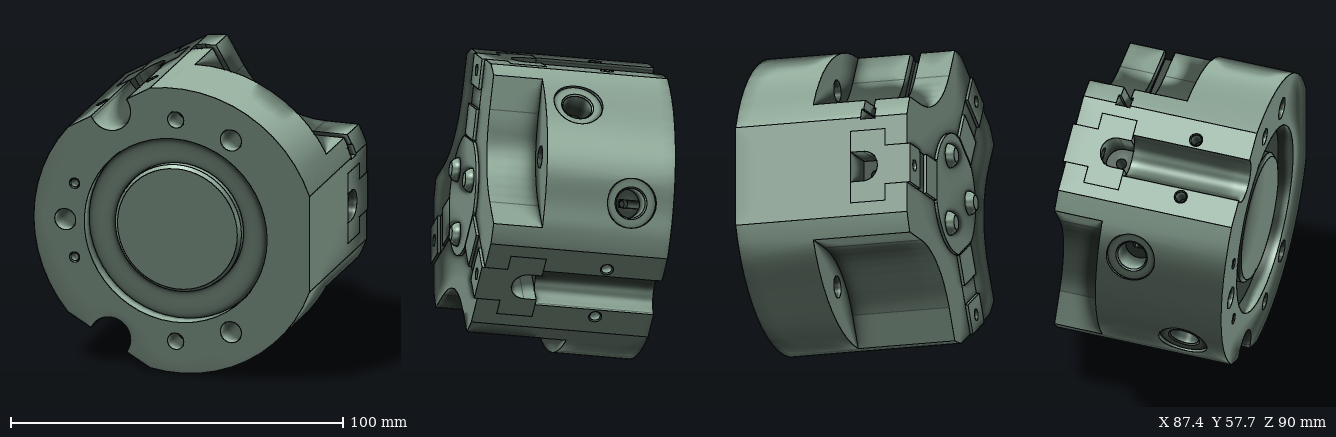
import cadquery as cq
import math


BODY_RADIUS = 45.0
BODY_LENGTH = 54.5
FLAT_RADIUS = 42.4
PLATE_THICKNESS = 0.9
TOP = BODY_LENGTH + PLATE_THICKNESS

JAW_ANGLES = (0, 120, 240)
BETWEEN_JAWS = (60, 180, 300)
GROOVED_ANGLES = (120, 240)
DOWEL_ANGLES = (90, 270)

JAW_INNER_RADIUS = 17.5
STEM_WIDTH = 12.0
BAR_WIDTH = 22.1
BAR_BOTTOM = 36.6
BAR_TOP = 47.5
KEYWAY_INNER = 27.0
KEYWAY_OUTER = 33.1
POCKET_RADIUS = 4.6
POCKET_CENTER_Y = 40.5
POCKET_DEPTH = 12.4
JAW_HOLE_DIAMETER = 3.4
JAW_HOLE_RADIUS = 38.05
SLIDE_HOLE_DIAMETER = 3.1

RECESS_RADIUS = 29.0
RECESS_DEPTH = 4.7
BOSS_RADIUS = 20.0
BOSS_SETBACK = 1.6
BOSS_CHAMFER = 1.0

BOLT_CIRCLE = 35.0
BOLT_HOLE_DIAMETER = 6.7
DOWEL_DIAMETER = 5.1
DOWEL_DEPTH = 9.9
DRILL_TIP_ANGLE = 118

NOTCH_CORNER_HALF_WIDTH = 24.0
NOTCH_ARC_RADIUS = 29.9
NOTCH_SIDE_ANGLE = 30
NOTCH_FLOORS = {60: 23.8, 180: 39.5, 300: 23.8}

GROOVE_RADIUS = 6.5
GROOVE_CENTER_RADIUS = 41.6
SIDE_HOLE_OFFSET = 9.1
SIDE_HOLE_Y = 17.5
SIDE_HOLE_DIAMETER = 3.2
SIDE_HOLE_DEPTH = 8.1
SIDE_HOLE_CHAMFER = 0.4

SENSOR_ANGLE = 60
SENSOR_Y = 42.0
SENSOR_NECK_WIDTH = 3.2
SENSOR_CHANNEL_WIDTH = 4.5
SENSOR_CHANNEL_HEIGHT = 3.3
SENSOR_FLOOR_OFFSET = 14.6

PORT_SPOTS = ((160, 29.3), (200, 12.9))
PORT_FACE_RADIUS = 43.6
PORT_FACE_DIAMETER = 15.0
PORT_DIAMETER = 8.9
PORT_DEPTH = 9.0
PORT_CHAMFER = 0.45
BLEED_DIAMETER = 2.5
BLEED_CHAMFER = 0.4
BLEED_RADIUS = 34.1
BLEED_OVERRUN = 1.6
BLEED_INNER_RADIUS = 27.9

PLATE_RADIUS = 18.35
PLATE_FLAT_RADIUS = 17.1
SCREW_RADIUS = 12.05
SCREW_HEAD_DIAMETER = 7.4
SCREW_TOP_DIAMETER = 4.4
SCREW_HEAD_HEIGHT = 2.25


def on_circle(radius, angle):
    """(X, Z) of the point at a radius and angle around the Y axis."""
    turn = math.radians(angle)
    return radius * math.cos(turn), radius * math.sin(turn)


def axial(y):
    """Workplane across the axis; a negative extrusion runs towards +Y."""
    return cq.Workplane("XZ", origin=(0, y, 0))


def sector(angle, y):
    """Workplane across the axis with local x pointing outwards at an angle."""
    x, z = on_circle(1, angle)
    return cq.Workplane(cq.Plane(origin=(0, y, 0), xDir=(x, 0, z), normal=(0, -1, 0)))


def facing(angle, radius):
    """Workplane facing outwards at a radius: local x is tangential and local y is Y."""
    x, z = on_circle(1, angle)
    origin = (radius * x, 0, radius * z)
    return cq.Workplane(cq.Plane(origin=origin, xDir=(z, 0, -x), normal=(x, 0, z)))


def drill(diameter, depth, chamfer=0.0):
    """Blind drilled hole that enters the XY plane from above, with an optional edge chamfer."""
    radius = diameter / 2
    tip = radius / math.tan(math.radians(DRILL_TIP_ANGLE / 2))
    outline = cq.Workplane("XZ").moveTo(0, 0).lineTo(radius + chamfer, 0)
    if chamfer:
        outline = outline.lineTo(radius, -chamfer)
    outline = outline.lineTo(radius, -depth).lineTo(0, -depth - tip).close()
    return outline.revolve(360, (0, 0), (0, 1))


def placed(tool, workplane):
    """A tool moved from the XY plane onto a workplane."""
    return tool.val().moved(workplane.plane.location)


def jaw_blank(angle):
    """T-shaped slide that fills the slot in the housing."""
    bar = BAR_WIDTH / 2
    stem = STEM_WIDTH / 2
    half = [(bar, BAR_BOTTOM), (bar, BAR_TOP), (stem, BAR_TOP), (stem, TOP)]
    mirrored = [(-x, y) for x, y in reversed(half)]
    outline = facing(angle, FLAT_RADIUS).polyline(half + mirrored).close()
    return outline.extrude(JAW_INNER_RADIUS - FLAT_RADIUS)


def jaw(angle):
    body = jaw_blank(angle)
    keyway = (
        sector(angle, BODY_LENGTH)
        .center((KEYWAY_INNER + KEYWAY_OUTER) / 2, 0)
        .rect(KEYWAY_OUTER - KEYWAY_INNER, STEM_WIDTH)
        .extrude(-PLATE_THICKNESS)
    )
    pocket = (
        facing(angle, FLAT_RADIUS)
        .moveTo(-POCKET_RADIUS, BAR_BOTTOM)
        .lineTo(-POCKET_RADIUS, POCKET_CENTER_Y)
        .threePointArc((0, POCKET_CENTER_Y + POCKET_RADIUS), (POCKET_RADIUS, POCKET_CENTER_Y))
        .lineTo(POCKET_RADIUS, BAR_BOTTOM)
        .close()
        .extrude(-POCKET_DEPTH)
    )
    hole = (
        sector(angle, BAR_BOTTOM)
        .center(JAW_HOLE_RADIUS, 0)
        .circle(JAW_HOLE_DIAMETER / 2)
        .extrude(BAR_BOTTOM - TOP)
    )
    slide_hole = (
        facing(angle, FLAT_RADIUS)
        .center(0, POCKET_CENTER_Y)
        .circle(SLIDE_HOLE_DIAMETER / 2)
        .extrude(JAW_INNER_RADIUS - FLAT_RADIUS)
    )
    return body.cut(keyway).cut(pocket).cut(hole).cut(slide_hole)


def body_blank():
    """Round body with a flat under each jaw."""
    body = axial(0).circle(BODY_RADIUS).extrude(-BODY_LENGTH)
    for angle in JAW_ANGLES:
        outside = facing(angle, FLAT_RADIUS).center(0, BODY_LENGTH / 2)
        body = body.cut(outside.rect(2 * BODY_RADIUS, BODY_LENGTH).extrude(BODY_RADIUS))
    return body


def front_recess():
    """Round recess with a set-back, chamfered boss left standing in it."""
    recess = axial(0).circle(RECESS_RADIUS).extrude(-RECESS_DEPTH)
    boss = (
        axial(BOSS_SETBACK)
        .circle(BOSS_RADIUS)
        .extrude(BOSS_SETBACK - RECESS_DEPTH)
        .faces("<Y")
        .chamfer(BOSS_CHAMFER)
    )
    return recess.cut(boss)


def notch(angle, floor_y):
    """Notch open to the +Y end: a concave arc with a tangent slanted side on either hand."""
    side = math.radians(NOTCH_SIDE_ANGLE)
    corner_radius = math.sqrt(BODY_RADIUS**2 - NOTCH_CORNER_HALF_WIDTH**2)
    arc_half_width = NOTCH_ARC_RADIUS * math.sin(side)
    side_run = NOTCH_CORNER_HALF_WIDTH - arc_half_width
    arc_end = corner_radius - side_run * math.tan(side)
    arc_bottom = arc_end - NOTCH_ARC_RADIUS * (1 - math.cos(side))
    return (
        sector(angle, floor_y)
        .moveTo(BODY_RADIUS, -NOTCH_CORNER_HALF_WIDTH)
        .lineTo(corner_radius, -NOTCH_CORNER_HALF_WIDTH)
        .lineTo(arc_end, -arc_half_width)
        .threePointArc((arc_bottom, 0), (arc_end, arc_half_width))
        .lineTo(corner_radius, NOTCH_CORNER_HALF_WIDTH)
        .lineTo(BODY_RADIUS, NOTCH_CORNER_HALF_WIDTH)
        .close()
        .extrude(floor_y - BODY_LENGTH)
    )


def side_groove(angle):
    """Round-bottomed groove along a flat, from the front face up to the jaw."""
    return (
        sector(angle, 0)
        .moveTo(BODY_RADIUS, -GROOVE_RADIUS)
        .lineTo(GROOVE_CENTER_RADIUS, -GROOVE_RADIUS)
        .threePointArc(
            (GROOVE_CENTER_RADIUS - GROOVE_RADIUS, 0), (GROOVE_CENTER_RADIUS, GROOVE_RADIUS)
        )
        .lineTo(BODY_RADIUS, GROOVE_RADIUS)
        .close()
        .extrude(-BAR_BOTTOM)
    )


def sensor_wedge(floor_offset, width):
    """Slab centred on the sensor slot, open outwards from two floors parallel to the nearby jaws."""
    run = math.radians(SENSOR_ANGLE)
    apex = floor_offset / math.sin(run)
    reach = 2 * BODY_RADIUS
    ends = [(apex + reach * math.cos(run), side * reach * math.sin(run)) for side in (-1, 1)]
    slab = sector(SENSOR_ANGLE, SENSOR_Y - width / 2).polyline([(apex, 0), *ends]).close()
    return slab.extrude(-width)


def sensor_slot():
    """T-slot bent around the notch: a narrow neck over a wider channel along the floors."""
    neck = sensor_wedge(SENSOR_FLOOR_OFFSET, SENSOR_NECK_WIDTH)
    channel = sensor_wedge(SENSOR_FLOOR_OFFSET, SENSOR_CHANNEL_WIDTH)
    above = sensor_wedge(SENSOR_FLOOR_OFFSET + SENSOR_CHANNEL_HEIGHT, SENSOR_CHANNEL_WIDTH)
    return neck.union(channel.cut(above))


def air_port(angle, y):
    """Spot-faced radial port with an inward bleed hole, met by a feed hole from the front face."""
    face = facing(angle, PORT_FACE_RADIUS).center(0, y)
    spot_face = face.circle(PORT_FACE_DIAMETER / 2).extrude(BODY_RADIUS - PORT_FACE_RADIUS)
    bore = face.circle(PORT_DIAMETER / 2).extrude(-PORT_DEPTH)
    rim = face.circle(PORT_DIAMETER / 2 + PORT_CHAMFER).extrude(-PORT_CHAMFER, taper=45)
    feed = drill(BLEED_DIAMETER, y + BLEED_OVERRUN, BLEED_CHAMFER)
    feed = placed(feed, axial(0).center(*on_circle(BLEED_RADIUS, angle)))
    bleed = face.circle(BLEED_DIAMETER / 2).extrude(BLEED_INNER_RADIUS - PORT_FACE_RADIUS)
    return spot_face.union(bore).union(rim).union(bleed).union(cq.Workplane(feed))


def cover_plate():
    """Thin round plate with a flat facing the inner end of each jaw."""
    plate = axial(BODY_LENGTH).circle(PLATE_RADIUS).extrude(-PLATE_THICKNESS)
    for angle in JAW_ANGLES:
        outside = facing(angle, PLATE_FLAT_RADIUS).center(0, TOP)
        plate = plate.cut(outside.rect(2 * PLATE_RADIUS, 2 * PLATE_RADIUS).extrude(PLATE_RADIUS))
    return plate


def screw_head(angle):
    """Flat-topped spherical head standing on the cover plate."""
    base = SCREW_HEAD_DIAMETER / 2
    crown = SCREW_TOP_DIAMETER / 2
    middle = SCREW_HEAD_HEIGHT / 2
    sphere_center = (crown**2 + SCREW_HEAD_HEIGHT**2 - base**2) / (2 * SCREW_HEAD_HEIGHT)
    sphere_radius = math.hypot(base, sphere_center)
    bulge = (math.sqrt(sphere_radius**2 - (middle - sphere_center) ** 2), middle)
    head = (
        cq.Workplane("XY")
        .lineTo(base, 0)
        .threePointArc(bulge, (crown, SCREW_HEAD_HEIGHT))
        .lineTo(0, SCREW_HEAD_HEIGHT)
        .close()
        .revolve(360, (0, 0), (0, 1))
    )
    x, z = on_circle(SCREW_RADIUS, angle)
    return head.translate((x, TOP, z))


def make_housing():
    body = body_blank().cut(front_recess())
    for angle in BETWEEN_JAWS:
        body = body.cut(notch(angle, NOTCH_FLOORS[angle]))
        hole = axial(0).center(*on_circle(BOLT_CIRCLE, angle)).circle(BOLT_HOLE_DIAMETER / 2)
        body = body.cut(hole.extrude(-BODY_LENGTH))
    for angle in DOWEL_ANGLES:
        spot = axial(0).center(*on_circle(BOLT_CIRCLE, angle))
        body = body.cut(cq.Workplane(placed(drill(DOWEL_DIAMETER, DOWEL_DEPTH), spot)))
    for angle in GROOVED_ANGLES:
        body = body.cut(side_groove(angle))
        for offset in (-SIDE_HOLE_OFFSET, SIDE_HOLE_OFFSET):
            spot = facing(angle, FLAT_RADIUS).center(offset, SIDE_HOLE_Y)
            hole = drill(SIDE_HOLE_DIAMETER, SIDE_HOLE_DEPTH, SIDE_HOLE_CHAMFER)
            body = body.cut(cq.Workplane(placed(hole, spot)))
    body = body.cut(sensor_slot())
    for angle, y in PORT_SPOTS:
        body = body.cut(air_port(angle, y))
    for angle in JAW_ANGLES:
        body = body.cut(jaw_blank(angle))
    body = body.union(cover_plate())
    for angle in BETWEEN_JAWS:
        body = body.union(screw_head(angle))
    return body


housing = make_housing()
jaws = [jaw(angle) for angle in JAW_ANGLES]
result = cq.Compound.makeCompound([housing.val(), *[piece.val() for piece in jaws]])